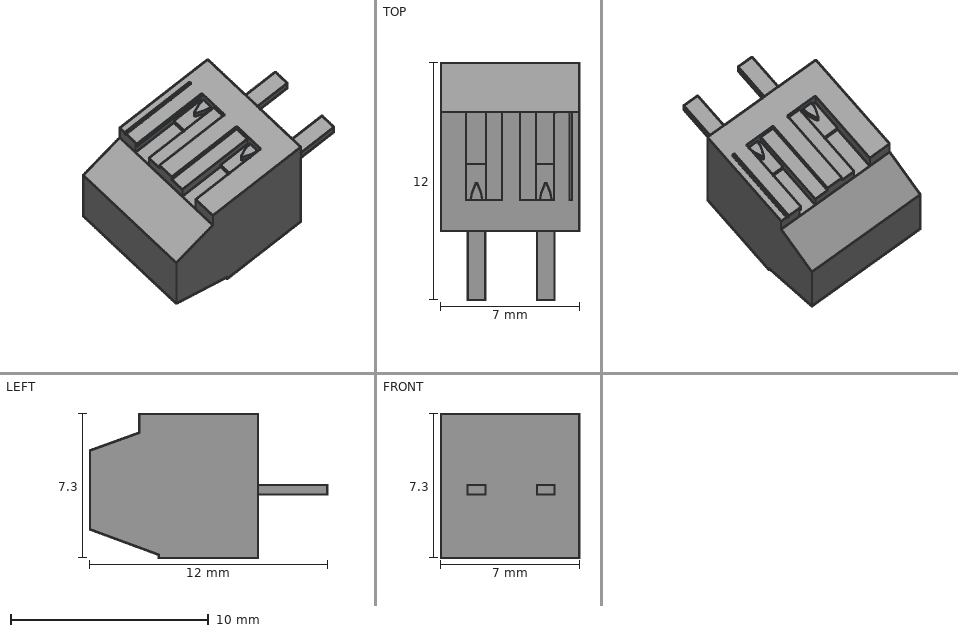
import cadquery as cq


width = 7.0
height = 7.3
depth = 8.51
top_step_y = 6.01
top_step_drop = 0.95
back_top_drop = 1.85
bottom_step_y = 5.03
bottom_step_rise = 0.17
back_bottom_rise = 1.45

pitch = 3.5
first_pole_x = 1.8
pole_positions = [first_pole_x, first_pole_x + pitch]
pin_width = 0.9
pin_thickness = 0.49
pin_length = 12 - depth
pin_bottom = 3.22

opening_front_y = 1.57
shelf_width = 0.79
shelf_drop = 0.26
channel_width = 1.01
channel_drop = top_step_drop
left_channel_x = 1.28
right_channel_x = 4.8
right_lip = 0.1

contact_back_y = 3.4
contact_drop = 0.78
tip_y = 2.42
tip_drop = 0.47
tip_root_width = 0.59
tip_end_width = 0.07
tip_shoulder_y = 1.92
tip_shoulder_width = 0.47
embed = 0.12

groove_x = 6.5
groove_width = 0.12
groove_drop = 0.12


def box(x, y, z, x_size, y_size, z_size):
    """Box placed by its minimum corner."""
    return cq.Workplane("XY").box(x_size, y_size, z_size, centered=False).translate((x, y, z))


def top_cut(x, x_size, drop, top_drop=0):
    """Volume behind the front wall, ending at the step in the top."""
    y_size = top_step_y - opening_front_y
    return box(x, opening_front_y, height - drop, x_size, y_size, drop - top_drop)


def make_housing():
    outline = [
        (0, 0),
        (bottom_step_y, 0),
        (bottom_step_y, bottom_step_rise),
        (depth, back_bottom_rise),
        (depth, height - back_top_drop),
        (top_step_y, height - top_step_drop),
        (top_step_y, height),
        (0, height),
    ]
    return cq.Workplane("YZ").polyline(outline).close().extrude(width)


def make_pin(center_x):
    return box(
        center_x - pin_width / 2, -pin_length, pin_bottom,
        pin_width, pin_length + embed, pin_thickness,
    )


def make_contact(channel_x, center_x):
    """Raised block on the channel floor, carrying a pointed tip."""
    block = box(
        channel_x, opening_front_y, height - channel_drop,
        channel_width, contact_back_y - opening_front_y, channel_drop - contact_drop,
    )
    right_side = [
        (tip_root_width / 2, opening_front_y),
        (tip_shoulder_width / 2, tip_shoulder_y),
        (tip_end_width / 2, tip_y),
    ]
    left_side = [(-x, y) for x, y in reversed(right_side)]
    tip = (
        cq.Workplane("XY", origin=(center_x, 0, height - contact_drop))
        .polyline(right_side + left_side)
        .close()
        .extrude(contact_drop - tip_drop)
    )
    return block.union(tip)


result = make_housing()

result = result.cut(top_cut(left_channel_x, channel_width, channel_drop))
result = result.cut(top_cut(left_channel_x + channel_width, shelf_width, shelf_drop))

right_mouth_width = shelf_width + channel_width - right_lip
result = result.cut(top_cut(right_channel_x - shelf_width, right_mouth_width, shelf_drop))
result = result.cut(top_cut(right_channel_x, channel_width, channel_drop, shelf_drop))

result = result.cut(top_cut(groove_x, groove_width, groove_drop))

for channel_x, pole_x in zip([left_channel_x, right_channel_x], pole_positions):
    result = result.union(make_contact(channel_x, pole_x))
    result = result.union(make_pin(pole_x))